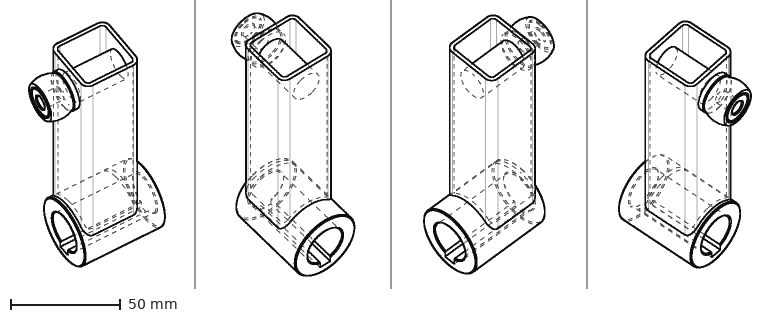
import cadquery as cq

total_height = 132.5
edge_break = 0.5

hub_diameter = 35.0
hub_length = 44.0
bore_diameter = 20.0
key_width = 6.0
key_reach = 13.0
hub_axis_z = hub_diameter / 2

tube_width = 30.0
tube_wall = 2.0
tube_corner_radius = 4.0
tube_front_y = -tube_width / 2
hub_front_y = tube_front_y - 2.0

pin_diameter = 15.0
pin_axis_z = total_height - 15.0
pin_overhang = 15.0
pin_front_y = tube_front_y - pin_overhang
collar_diameter = 20.0
collar_length = 3.0
roller_end_diameter = 19.0
roller_middle_diameter = 22.0
roller_bore_chamfer = 0.4
center_hole_diameter = 6.6
center_hole_depth = 10.6
center_hole_tip = 1.9


def cylinder_y(diameter, length, front_y, axis_z):
    """Cylinder along +Y starting at front_y."""
    plane = cq.Plane(origin=(0, front_y, axis_z), xDir=(1, 0, 0), normal=(0, 1, 0))
    return cq.Workplane(plane).circle(diameter / 2).extrude(length)


def revolve_about_pin(profile):
    """Revolve a profile drawn as (radius, Y) about the pin axis."""
    return profile.close().revolve(360, (0, 0, 0), (0, 1, 0))


def pin_profile_plane():
    return cq.Workplane("XY", origin=(0, 0, pin_axis_z))


def make_hub():
    blank = cylinder_y(hub_diameter, hub_length, hub_front_y, hub_axis_z)
    bore = cylinder_y(bore_diameter, hub_length, hub_front_y, hub_axis_z)
    hub = blank.cut(bore).faces("<Y or >Y").edges().chamfer(edge_break)
    keyway = (
        cq.Workplane("XY")
        .box(key_width, hub_length, key_reach, centered=(True, False, False))
        .translate((0, hub_front_y, hub_axis_z - key_reach))
    )
    return hub.cut(keyway)


def square_bar(width, corner_radius):
    bar = cq.Workplane("XY", origin=(0, 0, hub_axis_z)).rect(width, width)
    return bar.extrude(total_height - hub_axis_z).edges("|Z").fillet(corner_radius)


def make_tube():
    """Hollow tube whose lower end is saddle-cut to the hub."""
    outside = square_bar(tube_width, tube_corner_radius)
    inside = square_bar(tube_width - 2 * tube_wall, tube_corner_radius - tube_wall)
    saddle = cylinder_y(hub_diameter, hub_length, hub_front_y, hub_axis_z)
    return outside.cut(inside).cut(saddle)


def make_pin():
    """Pin reaching the tube's rear face, with its front end chamfered."""
    pin = cylinder_y(pin_diameter, pin_overhang + tube_width, pin_front_y, pin_axis_z)
    return pin.faces("<Y").chamfer(edge_break)


def make_collar():
    collar = cylinder_y(collar_diameter, collar_length, tube_front_y - collar_length, pin_axis_z)
    return collar.faces("<Y").chamfer(edge_break)


def make_roller():
    """Barrel with an arched outer surface, fitted closely around the pin."""
    rear_y = tube_front_y - collar_length
    middle_y = (rear_y + pin_front_y) / 2
    profile = (
        pin_profile_plane()
        .moveTo(pin_diameter / 2, rear_y)
        .lineTo(roller_end_diameter / 2, rear_y)
        .threePointArc((roller_middle_diameter / 2, middle_y), (roller_end_diameter / 2, pin_front_y))
        .lineTo(pin_diameter / 2 + roller_bore_chamfer, pin_front_y)
        .lineTo(pin_diameter / 2, pin_front_y + roller_bore_chamfer)
    )
    return revolve_about_pin(profile)


def make_center_hole():
    """Blind hole with a countersunk mouth and a conical bottom."""
    radius = center_hole_diameter / 2
    bottom_y = pin_front_y + center_hole_depth
    profile = (
        pin_profile_plane()
        .moveTo(0, pin_front_y)
        .lineTo(radius + edge_break, pin_front_y)
        .lineTo(radius, pin_front_y + edge_break)
        .lineTo(radius, bottom_y)
        .lineTo(0, bottom_y + center_hole_tip)
    )
    return revolve_about_pin(profile)


result = (
    make_hub()
    .union(make_tube())
    .union(make_pin())
    .union(make_collar())
    .union(make_roller())
    .cut(make_center_hole())
)